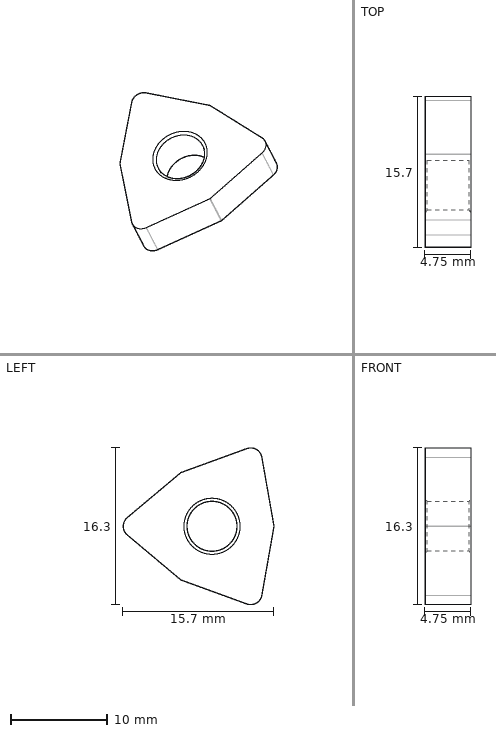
import cadquery as cq
import math

height = 16.28
thickness = 4.75
nose_radius = 1.19
blunt_radius = 0.16
corner_angle = 80.0
hole_diameter = 5.16
countersink_diameter = 5.83
countersink_slope = 30.0
corner_count = 3

half_corner = math.radians(corner_angle / 2)
half_pitch = math.pi / corner_count
nose_center_distance = (height / 2 - nose_radius) / math.sin(half_pitch)
inscribed_radius = nose_center_distance * math.sin(half_corner) + nose_radius
sharp_corner_distance = inscribed_radius / math.sin(half_corner)
blunt_corner_distance = inscribed_radius / math.sin(half_corner + half_pitch)
countersink_width = (countersink_diameter - hole_diameter) / 2
countersink_depth = countersink_width * math.tan(math.radians(countersink_slope))


def polar_point(distance, angle):
    return (distance * math.cos(angle), distance * math.sin(angle))


def trigon_points():
    """Alternating sharp and blunt corners, the first sharp one on +Y."""
    points = []
    for index in range(corner_count):
        angle = 2 * half_pitch * index
        points.append(polar_point(sharp_corner_distance, angle))
        points.append(polar_point(blunt_corner_distance, angle + half_pitch))
    return points


def make_body():
    """Trigon plate with all its corners rounded."""
    middle_distance = (sharp_corner_distance + blunt_corner_distance) / 2

    def is_sharp(edge):
        return math.hypot(edge.Center().y, edge.Center().z) > middle_distance

    def is_blunt(edge):
        return math.hypot(edge.Center().y, edge.Center().z) < middle_distance

    plate = cq.Workplane("YZ").polyline(trigon_points()).close().extrude(thickness / 2, both=True)
    plate = plate.edges("|X").filter(is_blunt).fillet(blunt_radius)
    return plate.edges("|X").filter(is_sharp).fillet(nose_radius)


def make_hole():
    """Through hole widened by a shallow countersink at both faces."""
    half = thickness / 2
    bore_radius = hole_diameter / 2
    mouth_radius = countersink_diameter / 2
    profile = [
        (-half, 0),
        (-half, mouth_radius),
        (-half + countersink_depth, bore_radius),
        (half - countersink_depth, bore_radius),
        (half, mouth_radius),
        (half, 0),
    ]
    return cq.Workplane("XZ").polyline(profile).close().revolve(360, (0, 0, 0), (1, 0, 0))


result = make_body().cut(make_hole())